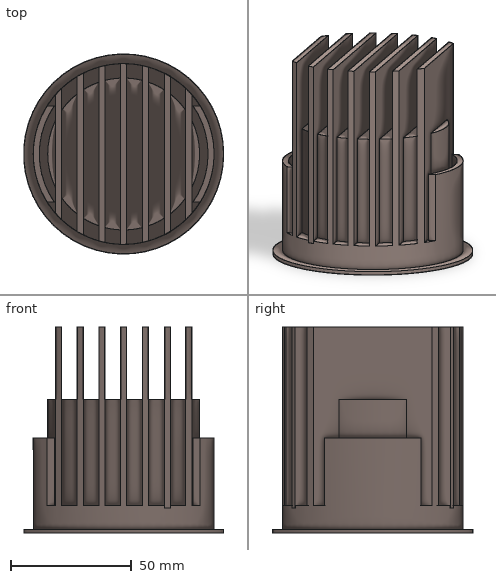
import cadquery as cq

flange_radius = 41.5
flange_thickness = 1.5

body_radius = 37.5
base_height = 10.0
core_radius = 31.5
core_height = 54.0

wall_thickness = 2.5
wall_width = 40.0
wall_height = 38.0

fin_count = 7
fin_thickness = 2.5
fin_pitch = 9.0
fin_height = 84.0

lapped_fin_index = 5
lapped_fin_offset = 0.25
lapped_fin_overlap = 1.0

blank_length = 2 * flange_radius


def cylinder(radius, height):
    """Upright cylinder standing on the top face of the flange."""
    return cq.Workplane("XY", origin=(0, 0, flange_thickness)).circle(radius).extrude(height)


def make_walls():
    """Two opposite arc walls on the -X and +X sides."""
    ring = cylinder(body_radius, wall_height).cut(cylinder(body_radius - wall_thickness, wall_height))
    band = cq.Workplane("XY", origin=(0, 0, flange_thickness))
    band = band.rect(blank_length, wall_width).extrude(wall_height)
    return ring.intersect(band)


def make_fin(x_center, offset=0.0, overlap=0.0):
    """Fin trimmed by the body cylinder, then moved by offset; it starts overlap below the base top."""
    bottom = flange_thickness + base_height - overlap
    height = fin_height - base_height + overlap
    slab = cq.Workplane("XY", origin=(x_center, 0, bottom))
    slab = slab.rect(fin_thickness, blank_length).extrude(height)
    return slab.intersect(cylinder(body_radius, fin_height)).translate((offset, 0, 0))


def make_fins():
    """Evenly spaced fins, including the one that laps over the base rim."""
    fins = []
    for index in range(fin_count):
        x_center = (index - (fin_count - 1) / 2) * fin_pitch
        if index == lapped_fin_index:
            fins.append(make_fin(x_center, lapped_fin_offset, lapped_fin_overlap))
        else:
            fins.append(make_fin(x_center))
    return fins


flange = cq.Workplane("XY").circle(flange_radius).extrude(flange_thickness)
base = cylinder(body_radius, base_height)
core = cylinder(core_radius, core_height)

result = flange.union(base).union(core).union(make_walls())
for fin in make_fins():
    result = result.union(fin)